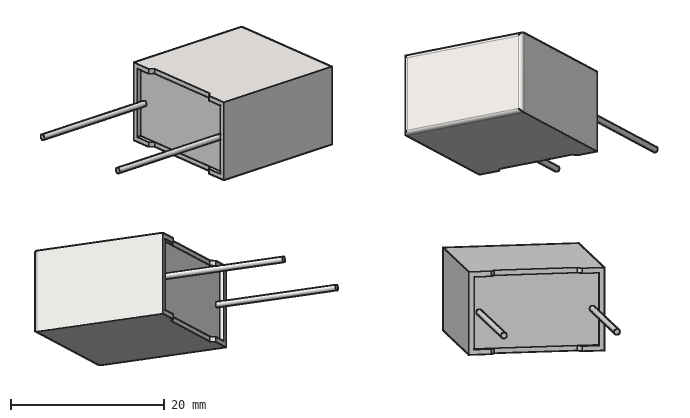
import cadquery as cq

total_length = 36.0
case_width = 18.0
case_depth = 19.0
case_height = 11.0
wall = 0.7
back_fillet = 0.5

notch_depth = 0.6
notch_floor_width = 11.0
notch_mouth_width = 12.02

lead_diameter = 0.8
lead_pitch = 15.0
lead_reach = total_length - case_depth

filler_recess = notch_depth
cavity_depth = case_depth - wall
cavity_width = case_width - 2 * wall
cavity_height = case_height - 2 * wall


def block_along_y(width, height, front, back):
    """Box centred on X and Z that spans front to back along Y."""
    return (
        cq.Workplane("XY")
        .box(width, back - front, height, centered=(True, False, True))
        .translate((0, front, 0))
    )


def make_rim_notch():
    """Trapezoidal cutter that passes through the top and bottom walls."""
    return (
        cq.Workplane("XY")
        .moveTo(-notch_mouth_width / 2, 0)
        .lineTo(notch_mouth_width / 2, 0)
        .lineTo(notch_floor_width / 2, notch_depth)
        .lineTo(-notch_floor_width / 2, notch_depth)
        .close()
        .extrude(case_height / 2, both=True)
    )


def make_case():
    """Box open at the front, with rounded edges around the closed back."""
    shell = block_along_y(case_width, case_height, 0, case_depth).faces(">Y").edges().fillet(back_fillet)
    cavity = block_along_y(cavity_width, cavity_height, 0, cavity_depth)
    return shell.cut(cavity).cut(make_rim_notch())


def make_filler():
    """Solid block that fills the cavity behind the recess."""
    return block_along_y(cavity_width, cavity_height, filler_recess, cavity_depth)


def make_lead(x):
    """Round wire that runs forward from the filler face."""
    return (
        cq.Workplane("XZ", origin=(x, filler_recess, 0))
        .circle(lead_diameter / 2)
        .extrude(filler_recess + lead_reach)
    )


case = make_case()
filler = make_filler()
leads = [make_lead(side * lead_pitch / 2) for side in (-1, 1)]

result = cq.Compound.makeCompound([case.val(), filler.val(), *[lead.val() for lead in leads]])